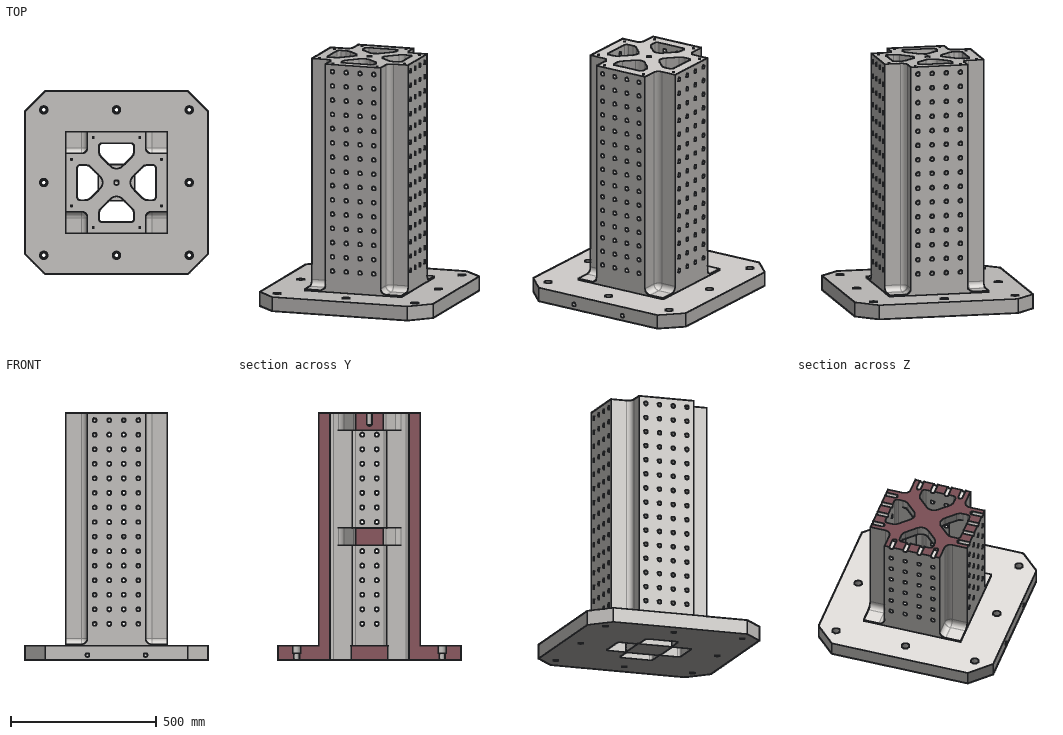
import cadquery as cq
import math

height = 850.0
base_side = 630.0
base_chamfer = 70.0

pitch = height / 17
base_thickness = pitch

column_side = 7 * pitch
arm_width = 4 * pitch
notch_floor = base_thickness + 5.0
notch_fillet = 20.0

wall = 40.0
cavity_reach = column_side / 2 - wall
cavity_width = 120.0
cavity_corner = 10.0
web_thickness = 60.0
web_arm_width = 51.0
web_inner_fillet = 28.0
floor_core_side = 126.0

grid_rows = 15
tapped_diameter = 14.0
tapped_depth = wall
drill_point_angle = 118

bolt_spacing = 5 * pitch
bolt_diameter = 18.0
bolt_head_diameter = 26.0
bolt_head_depth = 25.5
pin_diameter = 5.0
pin_depth = 17.0
pin_edge_distance = 20.0
pin_offset = 80.0
side_hole_offset = 2 * pitch
side_hole_height = 18.0
center_diameter = 17.0
center_depth = 40.0


def around_axis(shape):
    """Join four copies of a shape, a quarter turn apart about Z."""
    joined = shape
    for turn in range(1, 4):
        joined = joined.union(shape.rotate((0, 0, 0), (0, 0, 1), 90 * turn))
    return joined


def blind_hole(x, y, z, direction, diameter, depth):
    """Drill-shaped cutter with a conical tip."""
    radius = diameter / 2
    tip = radius / math.tan(math.radians(drill_point_angle / 2))
    body = cq.Solid.makeCylinder(radius, depth, cq.Vector(x, y, z), direction)
    cone_start = cq.Vector(x, y, z) + direction * depth
    return [body, cq.Solid.makeCone(radius, 0, tip, cone_start, direction)]


def make_base():
    plate = (
        cq.Workplane("XY")
        .rect(base_side, base_side)
        .extrude(base_thickness)
        .edges("|Z")
        .chamfer(base_chamfer)
    )
    places = [
        (x, y)
        for x in (-bolt_spacing, 0, bolt_spacing)
        for y in (-bolt_spacing, 0, bolt_spacing)
        if (x, y) != (0, 0)
    ]
    return (
        plate.faces(">Z")
        .workplane(origin=(0, 0, 0))
        .pushPoints(places)
        .cboreHole(bolt_diameter, bolt_head_diameter, bolt_head_depth)
    )


def make_column():
    block = (
        cq.Workplane("XY")
        .workplane(offset=base_thickness)
        .rect(column_side, column_side)
        .extrude(height - base_thickness)
    )
    notch = (
        cq.Workplane("XY")
        .box(column_side, column_side, height, centered=False)
        .edges("(<X and <Y) or (<X and <Z) or (<Y and <Z)")
        .fillet(notch_fillet)
        .translate((arm_width / 2, arm_width / 2, notch_floor))
    )
    return block.cut(around_axis(notch))


def cross_cavity(bottom, top):
    """Cross-shaped void between two heights."""
    slot = (
        cq.Workplane("XY")
        .workplane(offset=bottom)
        .rect(cavity_width, 2 * cavity_reach)
        .extrude(top - bottom)
        .edges("|Z")
        .fillet(cavity_corner)
    )
    return slot.union(slot.rotate((0, 0, 0), (0, 0, 1), 90))


def web_pockets(bottom):
    """Four pointed openings that leave an X-shaped web."""
    half = cavity_width / 2
    point = web_arm_width / math.sqrt(2)
    pocket = (
        cq.Workplane("XY")
        .workplane(offset=bottom)
        .polyline([
            (-half, cavity_reach),
            (-half, point + half),
            (0, point),
            (half, point + half),
            (half, cavity_reach),
        ])
        .close()
        .extrude(web_thickness)
        .edges("|Z and (not >Y)")
        .fillet(web_inner_fillet)
        .edges("|Z and >Y")
        .fillet(cavity_corner)
    )
    return around_axis(pocket)


def floor_windows():
    """Four openings through the base plate, around a solid square core."""
    window_length = cavity_reach - floor_core_side / 2
    window = (
        cq.Workplane("XY")
        .center(0, cavity_reach - window_length / 2)
        .rect(cavity_width, window_length)
        .extrude(base_thickness)
        .edges("|Z and >Y")
        .fillet(cavity_corner)
    )
    return around_axis(window)


def grid_holes():
    """Holes of the front face: through-wall inner columns and blind outer columns."""
    inward = cq.Vector(0, 1, 0)
    face = -column_side / 2
    cutters = []
    for row in range(grid_rows):
        z = height - pitch * (row + 0.5)
        for side in (-1, 1):
            start = cq.Vector(side * pitch / 2, face, z)
            cutters.append(cq.Solid.makeCylinder(tapped_diameter / 2, wall, start, inward))
            cutters += blind_hole(side * pitch * 1.5, face, z, inward, tapped_diameter, tapped_depth)
    return cutters


def pin_holes():
    """Small locating holes in the top of the front arm."""
    y = -column_side / 2 + pin_edge_distance
    return [
        cq.Solid.makeCylinder(pin_diameter / 2, pin_depth, cq.Vector(x, y, height), cq.Vector(0, 0, -1))
        for x in (-pin_offset, pin_offset)
    ]


def side_holes():
    """Two tapped holes in the front edge of the base plate."""
    inward = cq.Vector(0, 1, 0)
    face = -base_side / 2
    cutters = []
    for x in (-side_hole_offset, side_hole_offset):
        cutters += blind_hole(x, face, side_hole_height, inward, tapped_diameter, tapped_depth)
    return cutters


body = make_base().union(make_column())

top_web = height - web_thickness
middle_web = height / 2 - web_thickness / 2
body = body.cut(cross_cavity(base_thickness, middle_web))
body = body.cut(cross_cavity(middle_web + web_thickness, top_web))
body = body.cut(web_pockets(middle_web))
body = body.cut(web_pockets(top_web))
body = body.cut(floor_windows())

cutters = []
for cutter in grid_holes() + pin_holes():
    for turn in range(4):
        cutters.append(cutter.rotate(cq.Vector(0, 0, 0), cq.Vector(0, 0, 1), 90 * turn))

cutters += side_holes()
cutters += blind_hole(0, 0, height, cq.Vector(0, 0, -1), center_diameter, center_depth)

result = cq.Workplane(obj=body.val().cut(*cutters))